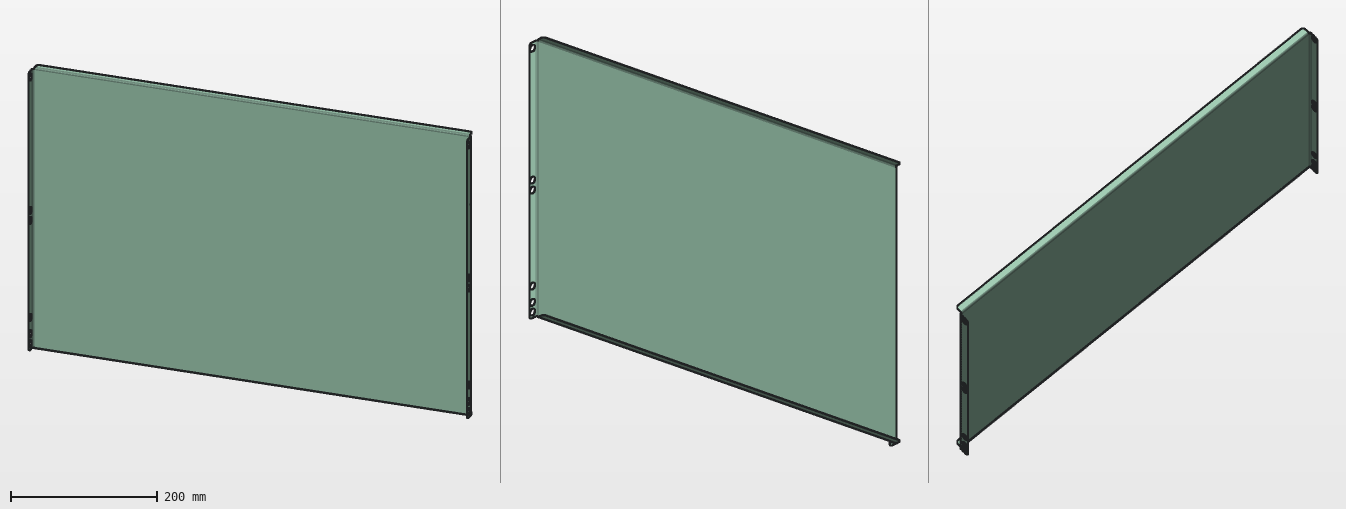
import cadquery as cq

width = 644.0
depth = 27.0
height = 420.0
sheet = 1.0
bend_radius = 2.25

side_flange_depth = 16.0
rear_flange_depth = depth - side_flange_depth + sheet
side_setback = 2.0
rear_setback = 2.5
flange_corner_radius = 4.5

hole_diameter = 10.0
hole_front_offset = 6.5
hole_heights = (199.0, 0.0, -15.0, -160.0, -184.0, -199.0)

side_edge_y = sheet - side_flange_depth
side_length = height - 2 * side_setback
rear_length = width - 2 * rear_setback


def side_channel():
    """Panel with both side flanges, free edges toward -Y."""
    middle_y = sheet - side_flange_depth / 2
    outer = (
        cq.Workplane("XY").box(width, side_flange_depth, side_length)
        .translate((0, middle_y, 0))
        .edges("|Z and >Y").fillet(bend_radius)
    )
    inner = (
        cq.Workplane("XY").box(width - 2 * sheet, side_flange_depth, height)
        .translate((0, middle_y - sheet, 0))
        .edges("|Z and >Y").fillet(bend_radius - sheet)
    )
    channel = outer.cut(inner).edges("|X and <Y").fillet(flange_corner_radius)

    strip_centers = [(0, -height / 2), (0, height / 2)]
    bend_strips = (
        cq.Workplane("XZ")
        .pushPoints(strip_centers)
        .rect(rear_length, 2 * bend_radius)
        .extrude(-sheet)
    )
    return channel.cut(bend_strips)


def rear_channel():
    """Panel with top and bottom flanges, free edges toward +Y."""
    middle_y = rear_flange_depth / 2
    outer = (
        cq.Workplane("XY").box(rear_length, rear_flange_depth, height)
        .translate((0, middle_y, 0))
        .edges("|X and <Y").fillet(bend_radius)
    )
    inner = (
        cq.Workplane("XY").box(width, rear_flange_depth, height - 2 * sheet)
        .translate((0, middle_y + sheet, 0))
        .edges("|X and <Y").fillet(bend_radius - sheet)
    )
    return outer.cut(inner).edges("|Z and >Y").fillet(flange_corner_radius)


def flange_holes():
    """Cylinders along X that pierce both side flanges."""
    hole_y = side_edge_y + hole_front_offset
    return (
        cq.Workplane("YZ")
        .pushPoints([(hole_y, z) for z in hole_heights])
        .circle(hole_diameter / 2)
        .extrude(width / 2, both=True)
    )


result = rear_channel().union(side_channel()).cut(flange_holes())